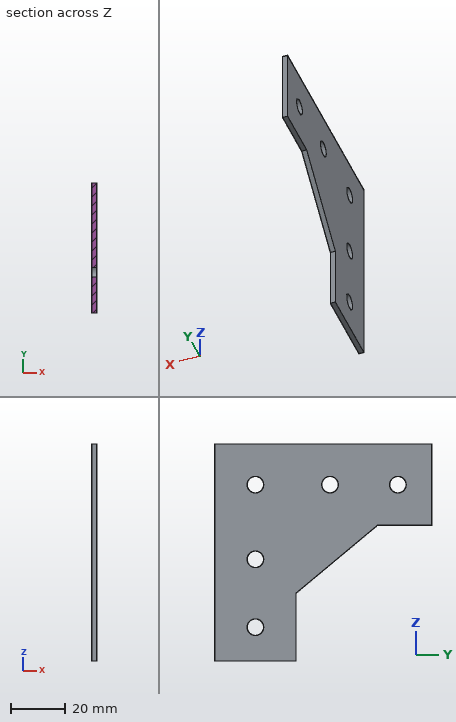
import cadquery as cq

thickness = 2.0
leg_length = 80.0
leg_width = 30.0

web_reach_y = 60.0
web_reach_z = 55.0

hole_diameter = 6.0
corner_hole_offset = leg_width / 2
end_hole_inset = 12.5
hole_pitch = 25.0
end_hole_offset = leg_length - end_hole_inset
middle_hole_offset = end_hole_offset - hole_pitch

half_length = leg_length / 2


def from_corner(along_y, down_z):
    """Plate point (Y, Z) at the given distances from the outer corner at -Y, +Z."""
    return (along_y - half_length, half_length - down_z)


def minus_x_face():
    """Workplane on the -X face of the plate."""
    return cq.Workplane("YZ").workplane(offset=-thickness / 2)


def make_plate():
    """L-shaped plate with a sloped web in its inner corner, centred on the origin."""
    outline = [
        from_corner(0, 0),
        from_corner(leg_length, 0),
        from_corner(leg_length, leg_width),
        from_corner(web_reach_y, leg_width),
        from_corner(leg_width, web_reach_z),
        from_corner(leg_width, leg_length),
        from_corner(0, leg_length),
    ]
    return minus_x_face().polyline(outline).close().extrude(thickness)


def make_hole_cutters():
    """One through hole at the corner and two along the centreline of each leg."""
    centers = [from_corner(corner_hole_offset, corner_hole_offset)]
    for offset in (middle_hole_offset, end_hole_offset):
        centers.append(from_corner(offset, corner_hole_offset))
        centers.append(from_corner(corner_hole_offset, offset))
    return minus_x_face().pushPoints(centers).circle(hole_diameter / 2).extrude(thickness)


result = make_plate().cut(make_hole_cutters())